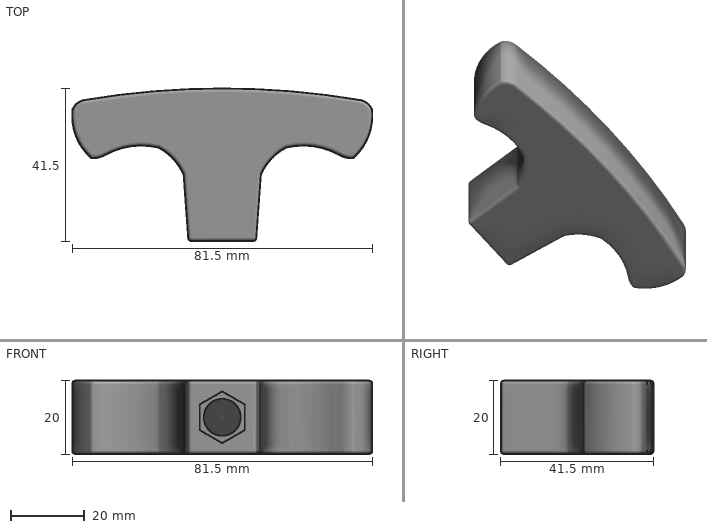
import cadquery as cq
import math

depth = 41.5
thickness = 20.0
edge_radius = 1.0
corner_radius = 1.1

stem_end_half_width = 9.2
stem_root = (10.5, 18.1)
throat_middle = (13.2, 22.25)
throat_end = (17.2, 25.35)
grip_crest = (22.5, 25.9)
grip_end = (31.95, 23.3)
lip_corner = (35.5, 22.5)
side_middle = (39.6, 28.3)
side_end = (40.7, 35.7)
shoulder_middle = (39.3, 37.5)
shoulder_end = (37.1, 38.4)

hex_flats = 12.15
hex_depth = 0.5
bore_diameter = 10.0
bore_depth = 20.0


def corner_at(x, y):
    """Selector for the vertical edge standing at (x, y)."""
    reach = 0.4
    return cq.selectors.BoxSelector(
        (x - reach, y - reach, -thickness),
        (x + reach, y + reach, thickness),
    )


def half_body():
    """Handle on the +X side, with rounded outline corners and sharp rims."""
    top_drop = depth - shoulder_end[1]
    top_radius = (shoulder_end[0] ** 2 + top_drop ** 2) / (2 * top_drop)
    half_angle = math.asin(shoulder_end[0] / top_radius) / 2
    top_middle = (
        top_radius * math.sin(half_angle),
        depth - top_radius * (1 - math.cos(half_angle)),
    )
    half = (
        cq.Workplane("XY", origin=(0, 0, -thickness / 2))
        .lineTo(stem_end_half_width, 0)
        .lineTo(*stem_root)
        .threePointArc(throat_middle, throat_end)
        .threePointArc(grip_crest, grip_end)
        .tangentArcPoint(lip_corner, relative=False)
        .threePointArc(side_middle, side_end)
        .threePointArc(shoulder_middle, shoulder_end)
        .threePointArc(top_middle, (0, depth))
        .close()
        .extrude(thickness)
    )
    for corner in (stem_root, throat_end, lip_corner, side_end):
        half = half.edges("|Z").edges(corner_at(*corner)).fillet(corner_radius)
    return half


def handle_body():
    half = half_body()
    half = half.edges("|Z").edges(corner_at(stem_end_half_width, 0)).fillet(edge_radius)
    rims = half.faces("|Z or <Y").edges("not(<X)").edges("not(|Z)")
    half = rims.fillet(edge_radius)
    return half.union(half.mirror("YZ")).clean()


def stem_cuts():
    stem_end = cq.Workplane("XZ")
    hex_diameter = hex_flats / math.cos(math.pi / 6)
    recess = stem_end.transformed(rotate=(0, 0, 90)).polygon(6, hex_diameter).extrude(-hex_depth)
    bore = stem_end.circle(bore_diameter / 2).extrude(-bore_depth)
    return recess.union(bore)


result = handle_body().cut(stem_cuts())